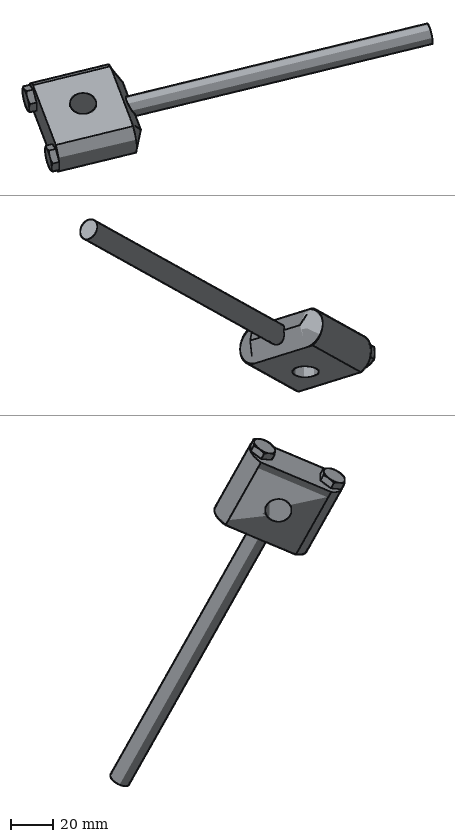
import cadquery as cq
import math

total_length = 194.2
body_width = 49.0
body_length = 38.3
body_height = 19.5
side_radius = 10.9

nose_length = 5.0
nose_ridge_width = 29.3

pad_width = 36.0
pad_length = 31.5
overall_height = 23.0
crown_width = 10.1
crown_rise = 0.33

hole_diameter = 12.5
rod_diameter = 10.1
bolt_spacing = 36.7
bolt_across_flats = 11.0
bolt_head_height = 3.7
bolt_chamfer_angle = 30.0

half_width = body_width / 2
half_height = body_height / 2
body_front = -body_length / 2
body_back = body_length / 2
head_face = body_front - bolt_head_height
rod_end = head_face + total_length
hole_radius = hole_diameter / 2


def along_y(start_y):
    """Sketch plane at start_y, X to the right and Z up; extrude negative to go toward +Y."""
    return cq.Workplane("XZ", origin=(0, start_y, 0))


def make_body():
    flank_center = half_width - side_radius
    flat_half = flank_center + math.sqrt(side_radius**2 - half_height**2)
    return (
        along_y(body_front)
        .moveTo(-flat_half, half_height)
        .lineTo(flat_half, half_height)
        .threePointArc((half_width, 0), (flat_half, -half_height))
        .lineTo(-flat_half, -half_height)
        .threePointArc((-half_width, 0), (-flat_half, half_height))
        .close()
        .extrude(-body_length)
    )


def make_nose():
    ridge_half = nose_ridge_width / 2
    nose = (
        cq.Workplane("YZ", origin=(-ridge_half, 0, 0))
        .polyline([
            (body_back, -half_height),
            (body_back + nose_length, 0),
            (body_back, half_height),
        ])
        .close()
        .extrude(nose_ridge_width)
    )
    for x in (-ridge_half, ridge_half):
        cone = cq.Solid.makeCone(
            half_height, 0, nose_length, pnt=cq.Vector(x, body_back, 0), dir=cq.Vector(0, 1, 0)
        )
        nose = nose.union(cq.Workplane(obj=cone))
    return nose


def make_rod():
    return along_y(0).circle(rod_diameter / 2).extrude(-rod_end)


def crown_section(x, top, rise=0):
    """Closed wire at x: a rectangle up to top, its upper edge arched by rise if there is one."""
    crown_half = crown_width / 2
    base_left = cq.Vector(x, -crown_half, 0)
    base_right = cq.Vector(x, crown_half, 0)
    left = cq.Vector(x, -crown_half, top)
    right = cq.Vector(x, crown_half, top)
    if rise:
        upper_edge = cq.Edge.makeThreePointArc(right, cq.Vector(x, 0, top + rise), left)
    else:
        upper_edge = cq.Edge.makeLine(right, left)
    return cq.Wire.assembleEdges([
        cq.Edge.makeLine(base_left, base_right),
        cq.Edge.makeLine(base_right, right),
        upper_edge,
        cq.Edge.makeLine(left, base_left),
    ])


def make_pad():
    pad_rise = (overall_height - body_height) / 2
    hip_x = math.sqrt(hole_radius**2 - (crown_width / 2)**2)
    pad = (
        cq.Workplane("XY", origin=(0, 0, half_height))
        .rect(pad_width, pad_length)
        .workplane(offset=pad_rise)
        .rect(2 * hip_x, crown_width)
        .loft(ruled=True)
    )

    for side in (-1, 1):
        rim = crown_section(side * pad_width / 2, half_height)
        arch = crown_section(side * hip_x, half_height + pad_rise, crown_rise)
        pad = pad.union(cq.Workplane(obj=cq.Solid.makeLoft([rim, arch], True)))
    return pad


def make_bolt_heads():
    corner_radius = bolt_across_flats / math.sqrt(3)
    face_radius = bolt_across_flats / 2
    chamfer_depth = (corner_radius - face_radius) * math.tan(math.radians(bolt_chamfer_angle))
    corner_points = [
        (corner_radius * math.sin(math.radians(angle)), corner_radius * math.cos(math.radians(angle)))
        for angle in range(0, 360, 60)
    ]
    blank = (
        cq.Workplane("XY")
        .moveTo(0, 0)
        .lineTo(face_radius, 0)
        .lineTo(corner_radius, chamfer_depth)
        .lineTo(corner_radius, bolt_head_height)
        .lineTo(0, bolt_head_height)
        .close()
        .revolve(360, (0, 0, 0), (0, 1, 0))
    )
    head = along_y(0).polyline(corner_points).close().extrude(-bolt_head_height).intersect(blank)
    left_head = head.translate((-bolt_spacing / 2, head_face, 0))
    return left_head.union(left_head.mirror("YZ"))


pad = make_pad()
hole = cq.Workplane("XY").circle(hole_radius).extrude(overall_height, both=True)

result = (
    make_body()
    .union(make_nose())
    .union(make_rod())
    .union(pad)
    .union(pad.mirror("XY"))
    .union(make_bolt_heads())
    .cut(hole)
)